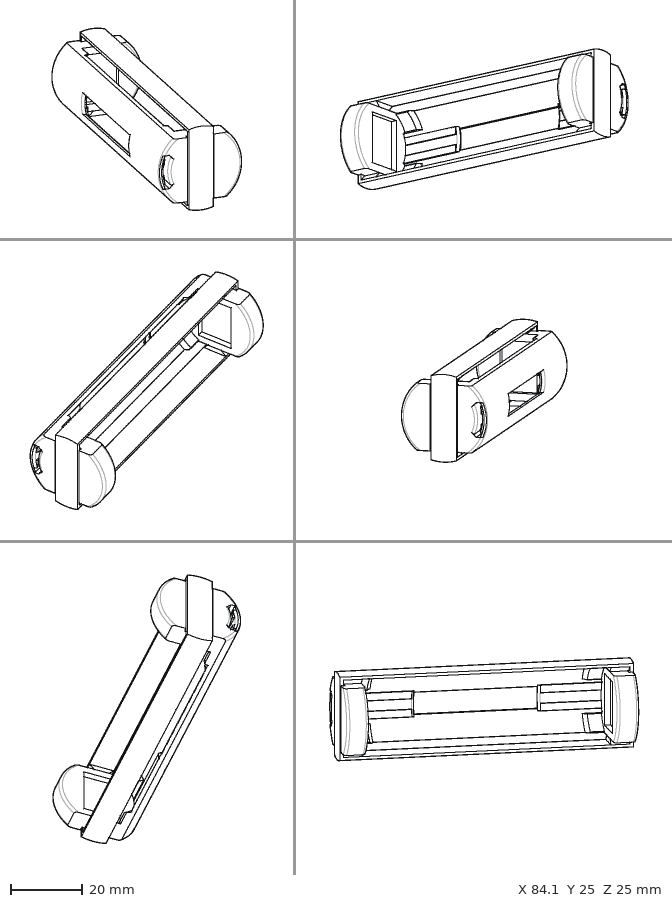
import cadquery as cq
import math

length = 84.1
outer_radius = 12.5
clearance = 0.295

band_half_width = 3.7
band_end_thickness = 1.1
band_inner_height = 11.1
band_inner_x = length / 2 - band_end_thickness

holder_half_length = 41.8
disc_inner_x = 35.6
disc_length = holder_half_length - disc_inner_x
flat_height = 9.6
rim_fillet = 0.75
shell_thickness = 0.8
shell_inner_radius = outer_radius - shell_thickness

pad_inner_radius = 10.5
pad_end_x = 31.55
pad_edge_y = 5.6
pad_edge_chamfer = 0.4

groove_half_width = band_half_width + clearance
groove_floor_x = band_inner_x - clearance

recess_half_width = 5.4
recess_half_height = 7.4
recess_depth = 1.8

window_half_length = 17.7
window_half_height = 3.2
window_fillet = 0.75
window_mid_radius = outer_radius - window_fillet

strip_inner_radius = window_mid_radius - window_fillet
strip_half_height = 3.7
strip_flat_y = 10.4
strip_channel_half_height = 1.5

slot_inner_radius = 9.7
slot_half_height = 5.0
slot_corner_y = 9.4
slot_mouth_fillet = 0.75
slot_lip_x = 41.6

beyond = 0.8
DIAGONAL = math.sqrt(0.5)


def box_between(x_range, y_range, z_range):
    """Axis-aligned box from a (low, high) pair for each axis."""
    sizes = [high - low for low, high in (x_range, y_range, z_range)]
    corner = (x_range[0], y_range[0], z_range[0])
    return cq.Workplane("XY").box(*sizes, centered=False).translate(corner)


def x_cylinder(radius, half_length):
    """Cylinder on the X axis, centred on the origin."""
    return cq.Workplane("YZ").circle(radius).extrude(half_length, both=True)


def both_ends(shape):
    """The given +X feature followed by its mirror image at the -X end."""
    return [shape, shape.mirror("YZ")]


def revolve_about_x(profile):
    """Turn an (x, radius) profile about the X axis."""
    return profile.close().revolve(360, (0, 0, 0), (1, 0, 0))


def make_disc():
    """+X end disc with both rims rounded."""
    disc = cq.Workplane("YZ").circle(outer_radius).extrude(disc_length).edges().fillet(rim_fillet)
    return disc.translate((disc_inner_x, 0, 0))


def make_shell():
    """Curved wall on the -Y side, reaching from disc to disc."""
    shell_half_length = holder_half_length - rim_fillet
    wall = x_cylinder(outer_radius, shell_half_length).cut(x_cylinder(shell_inner_radius, shell_half_length))
    x_range = (-shell_half_length, shell_half_length)
    keep = box_between(x_range, (-outer_radius, -pad_edge_y), (-flat_height, flat_height))
    return wall.intersect(keep)


def make_pad():
    """Thickened shell beside the +X disc, sloped at 45 degrees down to the shell."""
    step = shell_inner_radius - pad_inner_radius
    pad = revolve_about_x(
        cq.Workplane("XY")
        .moveTo(pad_end_x - step, shell_inner_radius)
        .lineTo(pad_end_x, pad_inner_radius)
        .lineTo(disc_inner_x, pad_inner_radius)
        .lineTo(disc_inner_x, outer_radius - rim_fillet)
        .lineTo(pad_end_x - step, outer_radius - rim_fillet)
    )
    edge_y = -pad_edge_y + pad_edge_chamfer
    edge_z = flat_height - pad_edge_chamfer
    keep = (
        cq.Workplane("YZ")
        .polyline([
            (-outer_radius, flat_height), (-pad_edge_y, flat_height), (edge_y, edge_z),
            (edge_y, -edge_z), (-pad_edge_y, -flat_height), (-outer_radius, -flat_height),
        ])
        .close()
        .extrude(length / 2)
    )
    return pad.intersect(keep)


def make_strip():
    """Raised strip from the window to the +X slot, with a rounded start and a flared mouth."""
    start = window_fillet
    mouth = slot_mouth_fillet
    start_x = window_half_length + start
    mouth_x = slot_lip_x - mouth
    bevel = strip_inner_radius - strip_flat_y
    strip = revolve_about_x(
        cq.Workplane("XY")
        .moveTo(window_half_length, window_mid_radius)
        .threePointArc(
            (start_x - start * DIAGONAL, window_mid_radius - start * DIAGONAL),
            (start_x, strip_inner_radius),
        )
        .lineTo(start_x, strip_flat_y)
        .lineTo(mouth_x - bevel, strip_flat_y)
        .lineTo(mouth_x, strip_inner_radius)
        .threePointArc(
            (mouth_x + mouth * DIAGONAL, strip_inner_radius + mouth * (1 - DIAGONAL)),
            (slot_lip_x, strip_inner_radius + mouth),
        )
    )
    x_range = (0, length)
    keep = box_between(x_range, (-outer_radius, -strip_flat_y), (-strip_half_height, strip_half_height))
    channel = x_cylinder(strip_inner_radius, length).intersect(
        box_between(
            x_range, (-outer_radius, 0), (-strip_channel_half_height, strip_channel_half_height)
        )
    )
    return strip.intersect(keep).cut(channel)


def window_cutter():
    """Window opening whose short ends curve outwards to the surface of the shell."""
    r = window_fillet
    edge = window_half_length
    bend_x = edge + r * (1 - DIAGONAL)
    bend_radius = window_mid_radius + r * DIAGONAL
    ring = revolve_about_x(
        cq.Workplane("XY")
        .moveTo(-edge, strip_flat_y)
        .lineTo(edge, strip_flat_y)
        .lineTo(edge, window_mid_radius)
        .threePointArc((bend_x, bend_radius), (edge + r, outer_radius))
        .lineTo(edge + r, outer_radius + beyond)
        .lineTo(-edge - r, outer_radius + beyond)
        .lineTo(-edge - r, outer_radius)
        .threePointArc((-bend_x, bend_radius), (-edge, window_mid_radius))
    )
    keep = box_between((-length, length), (-length, 0), (-window_half_height, window_half_height))
    return ring.intersect(keep)


def slot_cutter():
    """Curved slot through the +X disc with a rounded mouth and 45 degree inner corners."""
    mouth = slot_mouth_fillet
    mouth_x = holder_half_length - mouth
    mouth_radius = slot_inner_radius - mouth
    ring = revolve_about_x(
        cq.Workplane("XY")
        .moveTo(window_half_length, slot_inner_radius)
        .lineTo(mouth_x, slot_inner_radius)
        .threePointArc(
            (mouth_x + mouth * DIAGONAL, mouth_radius + mouth * DIAGONAL),
            (holder_half_length, mouth_radius),
        )
        .lineTo(holder_half_length + beyond, mouth_radius)
        .lineTo(holder_half_length + beyond, outer_radius + beyond)
        .lineTo(slot_lip_x, outer_radius + beyond)
        .lineTo(slot_lip_x, shell_inner_radius)
        .lineTo(window_half_length, shell_inner_radius)
    )
    outer_y = outer_radius + beyond
    inner_y = slot_corner_y - slot_half_height
    keep = (
        cq.Workplane("YZ")
        .polyline([
            (-outer_y, slot_half_height), (-slot_corner_y, slot_half_height), (-inner_y, 0),
            (-slot_corner_y, -slot_half_height), (-outer_y, -slot_half_height),
        ])
        .close()
        .extrude(length)
    )
    return ring.intersect(keep)


def groove_cutter():
    """Groove across the outer face of the +X disc."""
    return box_between(
        (groove_floor_x, length), (-groove_half_width, groove_half_width), (-outer_radius, outer_radius)
    )


def recess_cutter():
    """Rectangular recess in the inner face of the +X disc."""
    return box_between(
        (disc_inner_x - beyond, disc_inner_x + recess_depth),
        (-recess_half_width, recess_half_width),
        (-recess_half_height, recess_half_height),
    )


def make_holder():
    """End discs and shell as one solid, flattened at top and bottom."""
    holder = make_shell()
    for feature in (make_disc(), make_pad()):
        for part in both_ends(feature):
            holder = holder.union(part)
    for feature in (slot_cutter(), groove_cutter(), recess_cutter()):
        for cutter in both_ends(feature):
            holder = holder.cut(cutter)
    for strip in both_ends(make_strip()):
        holder = holder.union(strip)
    holder = holder.cut(window_cutter())
    flats = box_between((-length, length), (-length, length), (-flat_height, flat_height))
    return holder.intersect(flats)


def make_key():
    """Tapered key under the band that rests on the flat of the +X disc."""
    foot_half_width = band_half_width - (band_inner_height - flat_height)
    return (
        cq.Workplane("YZ")
        .workplane(offset=disc_inner_x)
        .polyline([
            (-band_half_width, band_inner_height), (band_half_width, band_inner_height),
            (foot_half_width, flat_height), (-foot_half_width, flat_height),
        ])
        .close()
        .extrude(band_inner_x - disc_inner_x)
    )


def make_band():
    """Loop with round outer long sides and keys at all four inner corners."""
    y_range = (-band_half_width, band_half_width)
    strip = box_between((-length / 2, length / 2), y_range, (-outer_radius, outer_radius))
    opening = box_between(
        (-band_inner_x, band_inner_x), y_range, (-band_inner_height, band_inner_height)
    )
    band = x_cylinder(outer_radius, length / 2).intersect(strip).cut(opening)
    for key in both_ends(make_key()):
        band = band.union(key).union(key.mirror("XY"))
    return band


holder = make_holder()
band = make_band()
result = cq.Compound.makeCompound([holder.val(), band.val()])